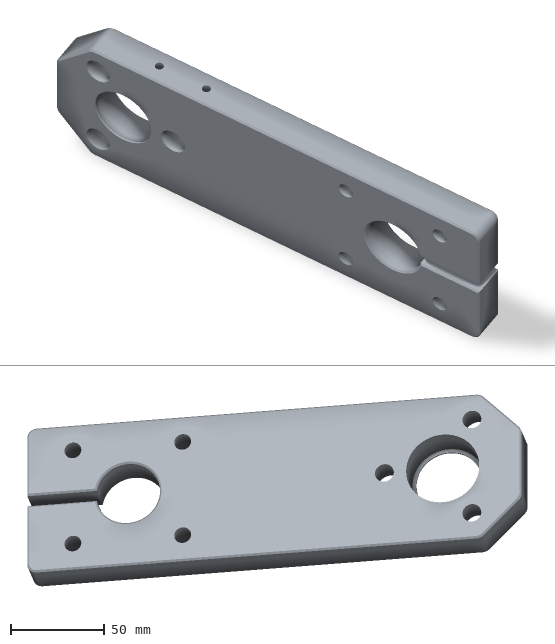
import cadquery as cq
import math

length = 270.0
thickness = 20.0
height = 85.0
nose_cut = 22.5
nose_radius = 6.0
end_radius = 5.0
edge_chamfer = 1.0

bore_x = 43.0
bore_diameter = 36.0
seat_diameter = 40.0
lip_thickness = 1.0
screw_count = 3
screw_circle_radius = 31.9
screw_diameter = 10.3
counterbore_diameter = 15.0
counterbore_depth = 11.0

clamp_x = 215.0
clamp_diameter = 34.8
slot_width = 6.0
plain_hole_diameter = 9.2
plain_hole_spacing_x = 60.0
plain_hole_spacing_z = 55.0

top_hole_count = 2
top_hole_x = 59.7
top_hole_spacing = 30.0
top_hole_diameter = 4.9
top_hole_depth = 12.0
drill_point_angle = 118.0


def cylinder_along_y(x, z, diameter, depth):
    """Cylinder starting at the front face and running into the plate."""
    return cq.Workplane("XZ").center(x, z).circle(diameter / 2).extrude(-depth)


def make_clamp_plate():
    half_height = height / 2
    outline = [
        (nose_cut, -half_height),
        (length, -half_height),
        (length, half_height),
        (nose_cut, half_height),
        (0, half_height - nose_cut),
        (0, nose_cut - half_height),
    ]
    plate = cq.Workplane("XZ").polyline(outline).close().extrude(-thickness)
    plate = plate.edges("|Y and >X").fillet(end_radius)
    nose_box = cq.selectors.BoxSelector(
        (-nose_cut, 0, -height),
        (length / 2, thickness, height),
    )
    plate = plate.edges(nose_box).edges("|Y").fillet(nose_radius)

    slot_length = length - clamp_x
    slot = cq.Workplane("XY").box(
        slot_length, thickness, slot_width, centered=(False, False, True)
    )
    plate = plate.cut(cylinder_along_y(clamp_x, 0, clamp_diameter, thickness))
    plate = plate.cut(slot.translate((clamp_x, 0, 0)))

    return plate.faces("<Y or >Y").edges().chamfer(edge_chamfer)


def make_lipped_bore():
    opening = cylinder_along_y(bore_x, 0, bore_diameter, thickness)
    seat = cylinder_along_y(bore_x, 0, seat_diameter, thickness - lip_thickness)
    return opening.union(seat.translate((0, lip_thickness, 0)))


def make_counterbored_hole(x, z):
    through_hole = cylinder_along_y(x, z, screw_diameter, thickness)
    return through_hole.union(cylinder_along_y(x, z, counterbore_diameter, counterbore_depth))


def make_top_hole(x):
    radius = top_hole_diameter / 2
    point_length = radius / math.tan(math.radians(drill_point_angle / 2))
    profile = [
        (0, 0),
        (radius, 0),
        (radius, -top_hole_depth),
        (0, -top_hole_depth - point_length),
    ]
    hole = cq.Workplane("XZ").polyline(profile).close().revolve(360, (0, 0), (0, 1))
    return hole.translate((x, thickness / 2, height / 2))


result = make_clamp_plate()

result = result.cut(make_lipped_bore())

for index in range(screw_count):
    angle = 2 * math.pi * index / screw_count
    screw_x = bore_x + screw_circle_radius * math.cos(angle)
    screw_z = screw_circle_radius * math.sin(angle)
    result = result.cut(make_counterbored_hole(screw_x, screw_z))

for side_x in (-1, 1):
    for side_z in (-1, 1):
        hole_x = clamp_x + side_x * plain_hole_spacing_x / 2
        hole_z = side_z * plain_hole_spacing_z / 2
        result = result.cut(cylinder_along_y(hole_x, hole_z, plain_hole_diameter, thickness))

for step in range(top_hole_count):
    result = result.cut(make_top_hole(top_hole_x + step * top_hole_spacing))